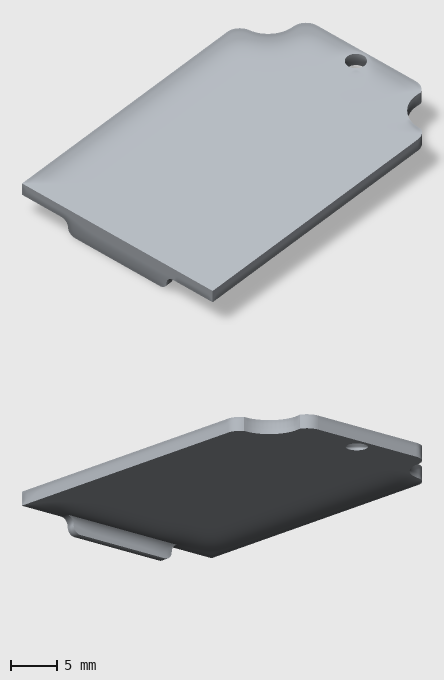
import cadquery as cq
import math

length = 40.9
width = 27.35
thickness = 1.6

neck_inset = 4.8
corner_radius = 1.8
shoulder_drop = 7.2
right_hollow_relief = 0.2

hole_diameter = 2.4
hole_edge_distance = 1.7

overall_height = 3.5
tab_depth = 1.0
tab_width = 14.15
tab_drop = overall_height - thickness
tab_radius = tab_drop / 2

half_width = width / 2
half_neck = half_width - neck_inset
shoulder_y = length - shoulder_drop
neck_y = length - corner_radius

offset_x = neck_inset - corner_radius
offset_y = neck_y - shoulder_y
hollow_radius = (offset_x**2 + offset_y**2 - corner_radius**2) / (2 * neck_inset)
hollow_center = (half_neck + hollow_radius, neck_y)


def arc_point(center, radius, angle):
    """Point on a circle at an angle in radians."""
    return (center[0] + radius * math.cos(angle), center[1] + radius * math.sin(angle))


def make_plate():
    shoulder_center = (half_width - corner_radius, shoulder_y)
    neck_center = (half_neck - corner_radius, neck_y)

    blend_angle = math.atan2(offset_y, hollow_center[0] - shoulder_center[0])
    hollow_end_angle = blend_angle + math.pi
    blend = arc_point(shoulder_center, corner_radius, blend_angle)
    shoulder_mid = arc_point(shoulder_center, corner_radius, blend_angle / 2)
    hollow_mid = arc_point(hollow_center, hollow_radius, (hollow_end_angle + math.pi) / 2)
    neck_mid = arc_point(neck_center, corner_radius, math.pi / 4)

    right_half = (
        cq.Workplane("XY")
        .lineTo(half_width, 0)
        .lineTo(half_width, shoulder_y)
        .threePointArc(shoulder_mid, blend)
        .threePointArc(hollow_mid, (half_neck, neck_y))
        .threePointArc(neck_mid, (neck_center[0], length))
        .lineTo(0, length)
        .close()
        .extrude(thickness)
    )
    return right_half.union(right_half.mirror("YZ")).clean()


def make_hole():
    return (
        cq.Workplane("XY")
        .center(0, length - hole_edge_distance)
        .circle(hole_diameter / 2)
        .extrude(thickness)
    )


def make_right_hollow_relief():
    return (
        cq.Workplane("XY")
        .center(*hollow_center)
        .circle(hollow_radius + right_hollow_relief)
        .extrude(thickness)
    )


def make_tab():
    half_tab = tab_width / 2
    foot = half_tab + tab_radius
    tip = half_tab - tab_radius
    diagonal = tab_radius * math.sqrt(0.5)
    foot_mid = (foot - diagonal, -tab_radius + diagonal)
    tip_mid = (tip + diagonal, -tab_radius - diagonal)

    return (
        cq.Workplane("XZ")
        .moveTo(-foot, thickness / 2)
        .lineTo(foot, thickness / 2)
        .lineTo(foot, 0)
        .threePointArc(foot_mid, (half_tab, -tab_radius))
        .threePointArc(tip_mid, (tip, -tab_drop))
        .lineTo(-tip, -tab_drop)
        .threePointArc((-tip_mid[0], tip_mid[1]), (-half_tab, -tab_radius))
        .threePointArc((-foot_mid[0], foot_mid[1]), (-foot, 0))
        .close()
        .extrude(-tab_depth)
    )


plate = make_plate().cut(make_hole()).cut(make_right_hollow_relief())
result = plate.union(make_tab()).clean()